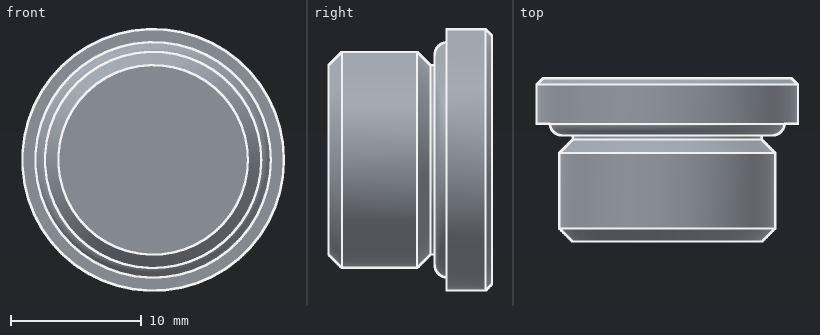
import cadquery as cq

head_radius = 10.0
total_length = 12.5

head_thickness = 3.5
head_chamfer = 0.5
head_face = total_length - head_thickness

shank_radius = 8.25
shank_length = 7.8
shank_chamfer = 1.02

neck_radius = shank_radius - shank_chamfer

ring_outer_radius = 9.0
ring_height = 0.9
ring_section_radius = 1.0
ring_center_radius = ring_outer_radius - ring_section_radius
ring_center = head_face - ring_height + ring_section_radius


def cylinder(radius, start, length):
    """Solid cylinder on the Y axis, growing from Y = start towards +Y."""
    return cq.Workplane("XZ", origin=(0, start, 0)).circle(radius).extrude(-length)


head = cylinder(head_radius, head_face, head_thickness).faces(">Y").chamfer(head_chamfer)
shank = cylinder(shank_radius, 0, shank_length).faces("<Y or >Y").chamfer(shank_chamfer)
neck = cylinder(neck_radius, 0, head_face)

ring = (
    cq.Workplane("XY")
    .center(ring_center_radius, ring_center)
    .circle(ring_section_radius)
    .revolve(360, (-ring_center_radius, 0, 0), (-ring_center_radius, 1, 0))
)

result = head.union(neck).union(shank).union(ring)